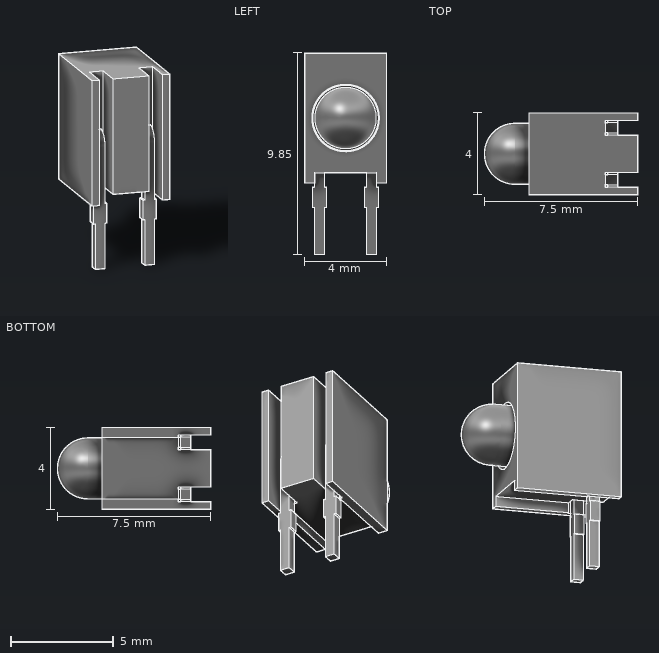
import cadquery as cq


housing_length = 5.32
housing_width = 4.0
housing_height = 6.35
channel_width = 3.0
channel_height = 0.5
axis_height = housing_height / 2

dome_radius = 1.5
protrusion = 2.18
flange_radius = 1.6
flange_thickness = 1.0

bore_radius = 1.65
bore_depth = 3.0

lead_size = 0.5
lead_pitch = 2.54
lead_drop = 3.5
rear_setback = 0.97
bend_inner_radius = 0.25
bend_outer_radius = bend_inner_radius + lead_size
shoulder_width = 0.7
shoulder_height = 1.0
shoulder_gap = 0.2
lead_rear_x = housing_length - rear_setback
lead_top_z = axis_height + lead_size / 2
bend_start_x = lead_rear_x - bend_outer_radius
lead_positions = [-lead_pitch / 2, lead_pitch / 2]

slot_depth = 1.58
slot_floor_x = housing_length - slot_depth
slot_width = shoulder_width


def make_box(x_min, x_max, y_center, y_width, z_min, z_max):
    """Box given by its X and Z limits and its centre and width along Y."""
    return (
        cq.Workplane("XY")
        .box(x_max - x_min, y_width, z_max - z_min, centered=(False, True, False))
        .translate((x_min, y_center, z_min))
    )


def make_housing():
    """Block with a channel underneath, a bore for the LED, and a slot and fitted hole for each lead."""
    body = make_box(0, housing_length, 0, housing_width, 0, housing_height)
    channel = make_box(0, housing_length, 0, channel_width, 0, channel_height)
    bore = cq.Workplane("YZ").center(0, axis_height).circle(bore_radius).extrude(bore_depth)
    body = body.cut(channel).cut(bore)
    for y in lead_positions:
        slot = make_box(slot_floor_x, housing_length, y, slot_width, 0, housing_height)
        body = body.cut(slot).cut(make_lead(y))
    return body


def make_led():
    """Domed cylinder with a flange resting on the bore floor, revolved about its own axis."""
    dome_start_x = dome_radius - protrusion
    dome_mid = dome_radius * 0.5 ** 0.5
    flange_front_x = bore_depth - flange_thickness
    half_profile = (
        cq.Workplane("XY")
        .moveTo(-protrusion, 0)
        .threePointArc((dome_start_x - dome_mid, dome_mid), (dome_start_x, dome_radius))
        .lineTo(flange_front_x, dome_radius)
        .lineTo(flange_front_x, flange_radius)
        .lineTo(bore_depth, flange_radius)
        .lineTo(bore_depth, 0)
        .close()
    )
    return half_profile.revolve(360, (0, 0, 0), (1, 0, 0)).translate((0, 0, axis_height))


def make_lead(y):
    """Square lead running back from the LED, bent down, with a wider shoulder below the housing."""
    lead_front_x = lead_rear_x - lead_size
    lead_underside_z = lead_top_z - lead_size
    bent_bar = (
        cq.Workplane("XZ")
        .moveTo(bore_depth, lead_top_z)
        .lineTo(bend_start_x, lead_top_z)
        .radiusArc((lead_rear_x, lead_top_z - bend_outer_radius), bend_outer_radius)
        .lineTo(lead_rear_x, -lead_drop)
        .lineTo(lead_front_x, -lead_drop)
        .lineTo(lead_front_x, lead_underside_z - bend_inner_radius)
        .radiusArc((bend_start_x, lead_underside_z), -bend_inner_radius)
        .lineTo(bore_depth, lead_underside_z)
        .close()
        .extrude(lead_size / 2, both=True)
        .translate((0, y, 0))
    )
    shoulder_top = -shoulder_gap
    shoulder = make_box(
        lead_front_x, lead_rear_x, y, shoulder_width, shoulder_top - shoulder_height, shoulder_top
    )
    return bent_bar.union(shoulder)


housing = make_housing()
led = make_led()
leads = [make_lead(y) for y in lead_positions]

result = cq.Compound.makeCompound([housing.val(), led.val(), *[lead.val() for lead in leads]])